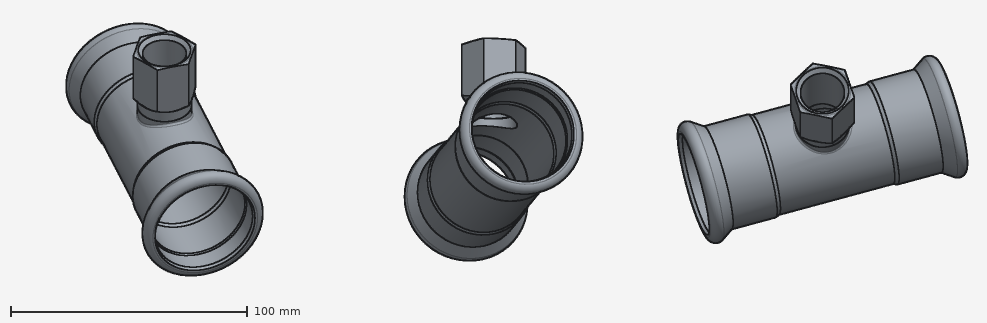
import cadquery as cq
import math

length = 114.0
half_length = length / 2
tube_radius = 44.0 / 2
tube_bore_radius = 41.0 / 2
socket_radius = 45.4 / 2
socket_bore_radius = 42.3 / 2
mouth_radius = 43.3 / 2
mouth_depth = 10.0
mouth_taper_length = 0.8
bead_diameter = 53.4
bead_round = 3.4
bead_length = 10.5
bead_cone_angle = math.radians(33)
lip_radius = 22.2
lip_depth = 1.6
socket_length = 30.0
step_length = 1.7

collar_radius = 23.0 / 2
collar_bore_radius = 20.0 / 2
collar_top = 23.7
collar_fillet = 0.9

adapter_top = 53.0
adapter_bore_radius = 18.6 / 2
countersink_radius = 22.2 / 2
countersink_depth = 1.7
hex_across_flats = 24.0
hex_corner_radius = hex_across_flats / math.sqrt(3)
hex_bottom = 28.7
bottom_bevel_height = 1.8
top_bevel_radius = 11.9
top_bevel_height = 0.2


def make_outer_half():
    """Solid half of the run, from the end face at -X to the middle."""
    end = -half_length
    bead_center_x = end + bead_round
    bead_center_r = bead_diameter / 2 - bead_round
    middle_angle = math.radians(45)
    bead_middle = (
        bead_center_x - bead_round * math.cos(middle_angle),
        bead_center_r + bead_round * math.sin(middle_angle),
    )
    bead_end = (
        bead_center_x + bead_round * math.sin(bead_cone_angle),
        bead_center_r + bead_round * math.cos(bead_cone_angle),
    )
    step_start = end + socket_length
    profile = (
        cq.Workplane("XY")
        .moveTo(end, 0)
        .lineTo(end, bead_center_r)
        .threePointArc(bead_middle, bead_end)
        .lineTo(end + bead_length, socket_radius)
        .lineTo(step_start, socket_radius)
        .lineTo(step_start + step_length, tube_radius)
        .lineTo(0, tube_radius)
        .lineTo(0, 0)
        .close()
    )
    return profile.revolve(360, (0, 0, 0), (1, 0, 0))


def make_bore_half():
    """Space inside half of the run: tapered lead-in, mouth, socket and tube bore."""
    end = -half_length
    step_start = end + socket_length
    profile = (
        cq.Workplane("XY")
        .moveTo(end, 0)
        .lineTo(end, lip_radius)
        .lineTo(end + lip_depth, mouth_radius)
        .lineTo(end + mouth_depth, mouth_radius)
        .lineTo(end + mouth_depth + mouth_taper_length, socket_bore_radius)
        .lineTo(step_start, socket_bore_radius)
        .lineTo(step_start + step_length, tube_bore_radius)
        .lineTo(0, tube_bore_radius)
        .lineTo(0, 0)
        .close()
    )
    return profile.revolve(360, (0, 0, 0), (1, 0, 0))


def both_ends(half):
    return half.union(half.mirror("YZ"))


def make_tee():
    collar = cq.Workplane("XY").circle(collar_radius).extrude(collar_top)
    outer = both_ends(make_outer_half()).union(collar)
    saddle_box = cq.selectors.BoxSelector(
        (-collar_radius - 1.1, -collar_radius - 1.1, 0),
        (collar_radius + 1.1, collar_radius + 1.1, tube_radius + collar_fillet / 2),
        boundingbox=True,
    )
    outer = outer.edges(saddle_box).fillet(collar_fillet)
    branch_bore = cq.Workplane("XY").circle(collar_bore_radius).extrude(collar_top)
    return outer.cut(both_ends(make_bore_half())).cut(branch_bore)


def make_hexagon():
    """Hexagonal prism with corners on the Y axis, bevelled at both ends."""
    height = adapter_top - hex_bottom
    prism = (
        cq.Workplane("XY", origin=(0, 0, hex_bottom))
        .transformed(rotate=(0, 0, 90))
        .polygon(6, 2 * hex_corner_radius)
        .extrude(height)
    )
    bevel_envelope = (
        cq.Workplane("XZ")
        .moveTo(0, hex_bottom)
        .lineTo(collar_radius, hex_bottom)
        .lineTo(hex_corner_radius, hex_bottom + bottom_bevel_height)
        .lineTo(hex_corner_radius, adapter_top - top_bevel_height)
        .lineTo(top_bevel_radius, adapter_top)
        .lineTo(0, adapter_top)
        .close()
        .revolve(360, (0, 0, 0), (0, 1, 0))
    )
    return prism.intersect(bevel_envelope)


def make_adapter():
    neck = (
        cq.Workplane("XY", origin=(0, 0, collar_top))
        .circle(collar_radius)
        .extrude(hex_bottom - collar_top)
    )
    bore = (
        cq.Workplane("XZ")
        .moveTo(0, collar_top)
        .lineTo(adapter_bore_radius, collar_top)
        .lineTo(adapter_bore_radius, adapter_top - countersink_depth)
        .lineTo(countersink_radius, adapter_top)
        .lineTo(0, adapter_top)
        .close()
        .revolve(360, (0, 0, 0), (0, 1, 0))
    )
    return make_hexagon().union(neck).cut(bore)


tee = make_tee()
adapter = make_adapter()

result = cq.Compound.makeCompound([tee.val(), adapter.val()])